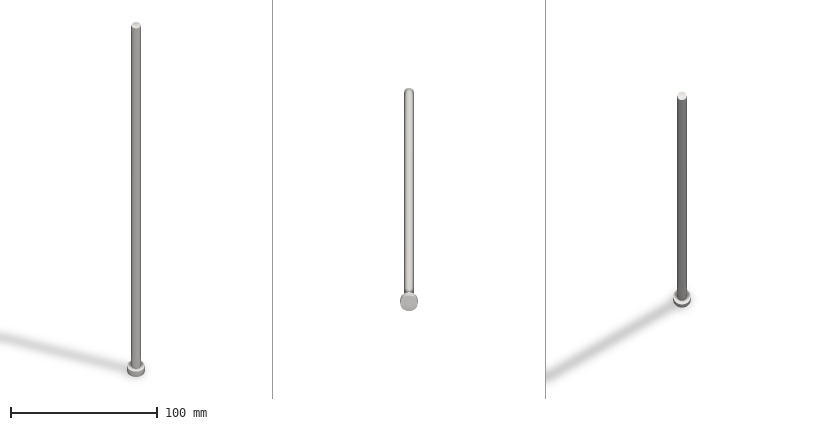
import cadquery as cq

total_length = 320.0
head_diameter = 12.0
head_height = 5.0
shank_diameter = 6.5

head = cq.Workplane("XY").circle(head_diameter / 2).extrude(head_height)
shank = cq.Workplane("XY").circle(shank_diameter / 2).extrude(total_length)

result = head.union(shank)